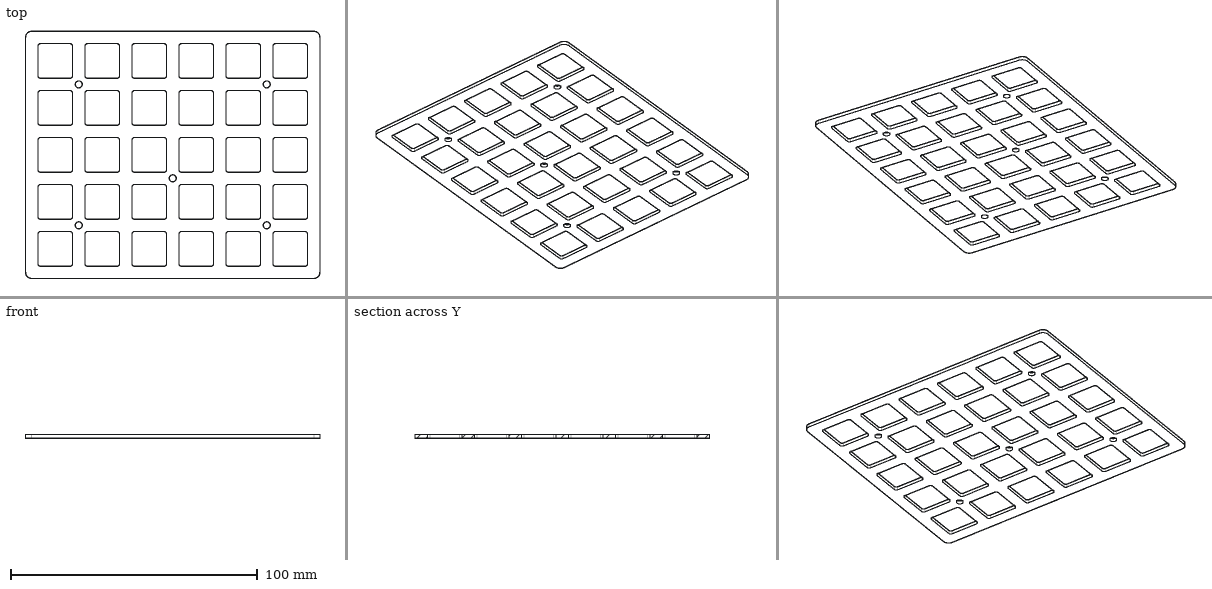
import cadquery as cq

length = 119.4
width = 100.3
thickness = 1.5
corner_radius = 2.5

columns = 6
rows = 5
window = 14.0
window_corner_radius = 1.0
web_x = (length - columns * window) / (columns + 1)
web_y = (width - rows * window) / (rows + 1)
pitch_x = window + web_x
pitch_y = window + web_y

hole_diameter = 2.7


def make_plate():
    """Flat plate with rounded corners, centred on the origin in X and Y."""
    plate = cq.Workplane("XY").rect(length, width).extrude(thickness)
    return plate.edges("|Z").fillet(corner_radius)


def make_windows():
    """Cutters for the grid of square windows with small rounded corners."""
    windows = (
        cq.Workplane("XY")
        .rarray(pitch_x, pitch_y, columns, rows)
        .rect(window, window)
        .extrude(thickness)
    )
    return windows.edges("|Z").fillet(window_corner_radius)


def make_holes():
    """Cutters for the round holes: four near the corners and one just below the centre."""
    outer_x = 2 * pitch_x
    outer_y = 1.5 * pitch_y
    centres = [(side_x * outer_x, side_y * outer_y) for side_x in (-1, 1) for side_y in (-1, 1)]
    centres.append((0, -pitch_y / 2))
    return cq.Workplane("XY").pushPoints(centres).circle(hole_diameter / 2).extrude(thickness)


result = make_plate().cut(make_windows()).cut(make_holes())